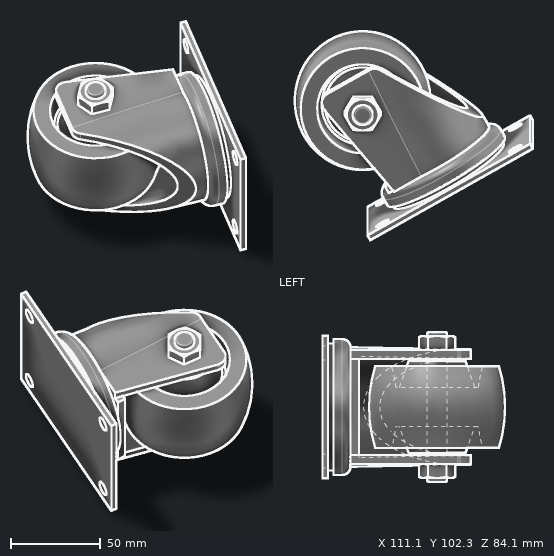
import cadquery as cq
import math


OVERALL_LENGTH = 111.1
OVERALL_HEIGHT = 102.3
WHEEL_RADIUS = 38.1

PLATE_LENGTH = 105.0
PLATE_WIDTH = 79.8
PLATE_THICKNESS = 3.2
HOLE_DIAMETER = 8.0
HOLE_SPACING_X = 85.7
HOLE_SPACING_Z = 60.3

NECK_RADIUS = 35.7
NECK_END_Y = -6.1
RING_RADIUS = 38.1
RING_END_Y = -15.9
RING_FILLET = 4.9

FORK_END_Y = -83.1
BLADE_OUTER_Z = 31.9
BLADE_THICKNESS = 5.1
BACK_RADIUS_TOP = 33.6
BACK_RADIUS_END = 32.5
BLADE_TOP_LEFT_X = -28.0
BLADE_END_LEFT_X = -38.6
BLADE_SLANT_END_Y = -75.9
BLADE_END_RIGHT_X = -1.7
BLADE_TOP_RIGHT_X = 37.7
BLADE_CORNER_RADIUS = 6.0
WEB_LEFT_X = -31.3
WEB_THICKNESS = 4.6

AXLE_X = PLATE_LENGTH / 2 + WHEEL_RADIUS - OVERALL_LENGTH
AXLE_Y = WHEEL_RADIUS - OVERALL_HEIGHT
AXLE_DIAMETER = 11.2
AXLE_LENGTH = 84.1
AXLE_END_FILLET = 1.3
NUT_ACROSS_FLATS = 17.8
NUT_OUTER_Z = 39.8
NUT_SIDES = 6
NUT_HALF_SIDE_ANGLE = 180 / NUT_SIDES
NUT_CHAMFER_ANGLE = 30

WHEEL_EDGE_RADIUS = 34.7
WHEEL_HALF_WIDTH = 22.9
RECESS_RIM_RADIUS = 25.5
RECESS_FLOOR_OUTER_RADIUS = 23.0
RECESS_FLOOR_INNER_RADIUS = 21.2
RECESS_FLOOR_Z = 10.9
HUB_END_RADIUS = 16.0
HUB_HALF_LENGTH = 25.7


def make_plate():
    """Rectangular mounting plate with four corner holes."""
    return (
        cq.Workplane("XZ")
        .rect(PLATE_LENGTH, PLATE_WIDTH)
        .extrude(PLATE_THICKNESS)
        .faces("<Y")
        .workplane(origin=(0, 0, 0))
        .rect(HOLE_SPACING_X, HOLE_SPACING_Z, forConstruction=True)
        .vertices()
        .hole(HOLE_DIAMETER)
    )


def make_bearing():
    """Round neck under the plate and the wider, rounded swivel ring below it."""
    neck = (
        cq.Workplane("XZ", origin=(0, -PLATE_THICKNESS, 0))
        .circle(NECK_RADIUS)
        .extrude(-PLATE_THICKNESS - NECK_END_Y)
    )
    ring = (
        cq.Workplane("XZ", origin=(0, NECK_END_Y, 0))
        .circle(RING_RADIUS)
        .extrude(NECK_END_Y - RING_END_Y)
        .faces("<Y")
        .edges()
        .fillet(RING_FILLET)
    )
    return neck.union(ring)


def make_fork_block(inset):
    """Solid block with flat sides and a tapered round back, moved inwards by `inset`."""
    back = (
        cq.Workplane("XY")
        .moveTo(0, RING_END_Y)
        .lineTo(BACK_RADIUS_TOP - inset, RING_END_Y)
        .lineTo(BACK_RADIUS_END - inset, FORK_END_Y)
        .lineTo(0, FORK_END_Y)
        .close()
        .revolve(360, (0, 0), (0, 1))
    )
    sides = cq.Workplane("XY").box(
        -BLADE_END_LEFT_X,
        RING_END_Y - FORK_END_Y,
        2 * (BLADE_OUTER_Z - inset),
        centered=(False, False, True),
    )
    return back.union(sides.translate((BLADE_END_LEFT_X, FORK_END_Y, 0)))


def make_fork():
    """Bent-sheet fork: the blades and back trimmed to the side outline, and the web under the ring."""
    side_outline = (
        cq.Workplane("XY")
        .moveTo(BLADE_TOP_LEFT_X, RING_END_Y)
        .lineTo(BLADE_END_LEFT_X, BLADE_SLANT_END_Y)
        .lineTo(BLADE_END_LEFT_X, FORK_END_Y)
        .lineTo(BLADE_END_RIGHT_X, FORK_END_Y)
        .lineTo(BLADE_TOP_RIGHT_X, RING_END_Y)
        .close()
        .extrude(BACK_RADIUS_TOP, both=True)
        .edges("|Z and <Y")
        .fillet(BLADE_CORNER_RADIUS)
    )
    cavity = make_fork_block(BLADE_THICKNESS)
    shell = make_fork_block(0).cut(cavity).intersect(side_outline)
    web_limits = cq.Workplane("XY").box(
        BACK_RADIUS_TOP - WEB_LEFT_X,
        WEB_THICKNESS,
        2 * BACK_RADIUS_TOP,
        centered=(False, False, True),
    )
    web = cavity.intersect(web_limits.translate((WEB_LEFT_X, RING_END_Y - WEB_THICKNESS, 0)))
    return shell.union(web)


def make_axle():
    """Axle through the fork and wheel, with rounded ends."""
    return (
        cq.Workplane("XY", origin=(AXLE_X, AXLE_Y, 0))
        .circle(AXLE_DIAMETER / 2)
        .extrude(AXLE_LENGTH / 2, both=True)
        .faces("|Z")
        .edges()
        .fillet(AXLE_END_FILLET)
    )


def make_nut(side):
    """Hexagon nut outside the blade on the given side (+1 or -1), chamfered at its outer end."""
    flat_radius = NUT_ACROSS_FLATS / 2
    corner_radius = flat_radius / math.cos(math.radians(NUT_HALF_SIDE_ANGLE))
    chamfer_drop = (corner_radius - flat_radius) * math.tan(math.radians(NUT_CHAMFER_ANGLE))
    hexagon = (
        cq.Workplane("XY", origin=(0, 0, BLADE_OUTER_Z))
        .polygon(NUT_SIDES, 2 * corner_radius)
        .extrude(NUT_OUTER_Z - BLADE_OUTER_Z)
        .rotate((0, 0, 0), (0, 0, 1), NUT_HALF_SIDE_ANGLE)
    )
    chamfer_limits = (
        cq.Workplane("XZ")
        .moveTo(0, BLADE_OUTER_Z)
        .lineTo(corner_radius, BLADE_OUTER_Z)
        .lineTo(corner_radius, NUT_OUTER_Z - chamfer_drop)
        .lineTo(flat_radius, NUT_OUTER_Z)
        .lineTo(0, NUT_OUTER_Z)
        .close()
        .revolve(360, (0, 0), (0, 1))
    )
    nut = hexagon.intersect(chamfer_limits)
    if side < 0:
        nut = nut.mirror("XY")
    return nut.translate((AXLE_X, AXLE_Y, 0))


def make_frame():
    """Plate, bearing, fork, axle and nuts as one solid."""
    frame = make_plate().union(make_bearing()).union(make_fork()).union(make_axle())
    for side in (1, -1):
        frame = frame.union(make_nut(side))
    return frame


def make_wheel():
    """Crowned wheel turned about the axle, with a bore that fits the axle."""
    bore_radius = AXLE_DIAMETER / 2
    return (
        cq.Workplane("XZ")
        .moveTo(bore_radius, -HUB_HALF_LENGTH)
        .lineTo(HUB_END_RADIUS, -HUB_HALF_LENGTH)
        .lineTo(RECESS_FLOOR_INNER_RADIUS, -RECESS_FLOOR_Z)
        .lineTo(RECESS_FLOOR_OUTER_RADIUS, -RECESS_FLOOR_Z)
        .lineTo(RECESS_RIM_RADIUS, -WHEEL_HALF_WIDTH)
        .lineTo(WHEEL_EDGE_RADIUS, -WHEEL_HALF_WIDTH)
        .threePointArc((WHEEL_RADIUS, 0), (WHEEL_EDGE_RADIUS, WHEEL_HALF_WIDTH))
        .lineTo(RECESS_RIM_RADIUS, WHEEL_HALF_WIDTH)
        .lineTo(RECESS_FLOOR_OUTER_RADIUS, RECESS_FLOOR_Z)
        .lineTo(RECESS_FLOOR_INNER_RADIUS, RECESS_FLOOR_Z)
        .lineTo(HUB_END_RADIUS, HUB_HALF_LENGTH)
        .lineTo(bore_radius, HUB_HALF_LENGTH)
        .close()
        .revolve(360, (0, 0), (0, 1))
        .translate((AXLE_X, AXLE_Y, 0))
    )


frame = make_frame()
wheel = make_wheel()

result = cq.Compound.makeCompound([frame.val(), wheel.val()])